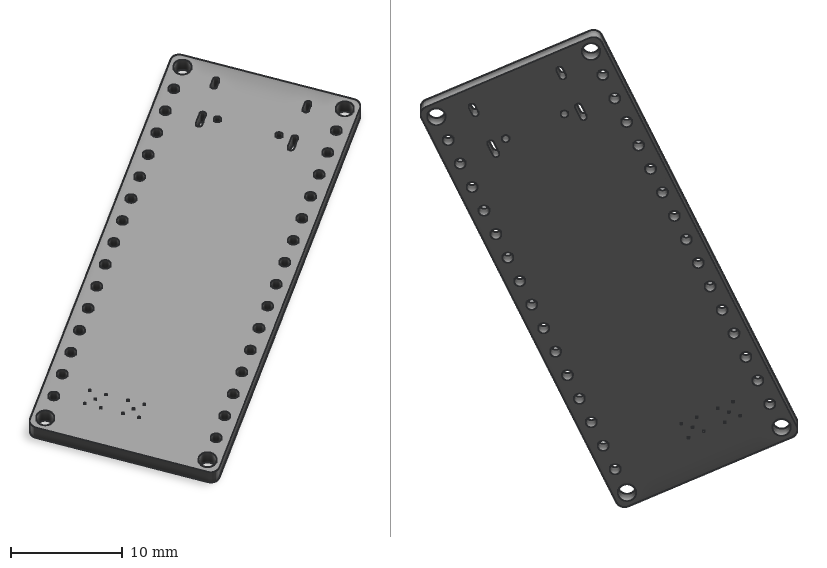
import cadquery as cq
import math

WIDTH = 17.8
LENGTH = 43.2
THICKNESS = 1.6
CORNER_RADIUS = 0.8
CORNER_FACETS = 7

MOUNT_DIAMETER = 1.65
MOUNT_SPACING_Y = 40.65

PIN_DIAMETER = 1.0
PIN_COUNT = 15
PIN_ROW_SPACING = 15.25
PIN_ROW_LENGTH = 35.6

SLOT_X = 4.3
SLOT_WIDTH = 0.6
REAR_SLOT_Y = 19.5
REAR_SLOT_LENGTH = 1.3
FRONT_SLOT_Y = 15.35
FRONT_SLOT_LENGTH = 1.73
LOCATING_X = 2.9
LOCATING_Y = 15.75
LOCATING_DIAMETER = 0.7

VIA_DIAMETER = 0.2
VIA_SPACING = 1.5
VIA_CLUSTER_Y = -16.95
VIA_CLUSTERS_X = (-3.97, -0.4)


def make_board():
    """Flat board whose rounded corners are made of short flat facets."""
    outline = []
    quadrants = ((1, 1), (-1, 1), (-1, -1), (1, -1))
    for quadrant, (side_x, side_y) in enumerate(quadrants):
        center_x = side_x * (WIDTH / 2 - CORNER_RADIUS)
        center_y = side_y * (LENGTH / 2 - CORNER_RADIUS)
        for step in range(CORNER_FACETS + 1):
            angle = (quadrant + step / CORNER_FACETS) * math.pi / 2
            x = center_x + CORNER_RADIUS * math.cos(angle)
            y = center_y + CORNER_RADIUS * math.sin(angle)
            outline.append((x, y))
    return cq.Workplane("XY").polyline(outline).close().extrude(THICKNESS)


def mirrored(x, y):
    """The point and its mirror image across the YZ plane."""
    return [(-x, y), (x, y)]


def drill(board, points, diameter):
    """Cut round through holes at the given points."""
    holes = cq.Workplane("XY").pushPoints(points).circle(diameter / 2).extrude(THICKNESS)
    return board.cut(holes)


def cut_slots(board, y, length):
    """Cut a mirrored pair of through slots that run along Y."""
    slots = (
        cq.Workplane("XY")
        .pushPoints(mirrored(SLOT_X, y))
        .slot2D(length, SLOT_WIDTH, 90)
        .extrude(THICKNESS)
    )
    return board.cut(slots)


def mount_points():
    """Centers of the four corner mounting holes."""
    y = MOUNT_SPACING_Y / 2
    return mirrored(PIN_ROW_SPACING / 2, y) + mirrored(PIN_ROW_SPACING / 2, -y)


def pin_points():
    """Centers of the two evenly spaced pin rows."""
    pitch = PIN_ROW_LENGTH / (PIN_COUNT - 1)
    points = []
    for pin in range(PIN_COUNT):
        points += mirrored(PIN_ROW_SPACING / 2, pin * pitch - PIN_ROW_LENGTH / 2)
    return points


def via_points():
    """Centers of the vias, each cluster laid out like the five on a die."""
    offsets = (-VIA_SPACING / 2, VIA_SPACING / 2)
    points = []
    for center_x in VIA_CLUSTERS_X:
        points.append((center_x, VIA_CLUSTER_Y))
        for offset_x in offsets:
            for offset_y in offsets:
                points.append((center_x + offset_x, VIA_CLUSTER_Y + offset_y))
    return points


result = make_board()
result = drill(result, mount_points(), MOUNT_DIAMETER)
result = drill(result, pin_points(), PIN_DIAMETER)
result = cut_slots(result, REAR_SLOT_Y, REAR_SLOT_LENGTH)
result = cut_slots(result, FRONT_SLOT_Y, FRONT_SLOT_LENGTH)
result = drill(result, mirrored(LOCATING_X, LOCATING_Y), LOCATING_DIAMETER)
result = drill(result, via_points(), VIA_DIAMETER)